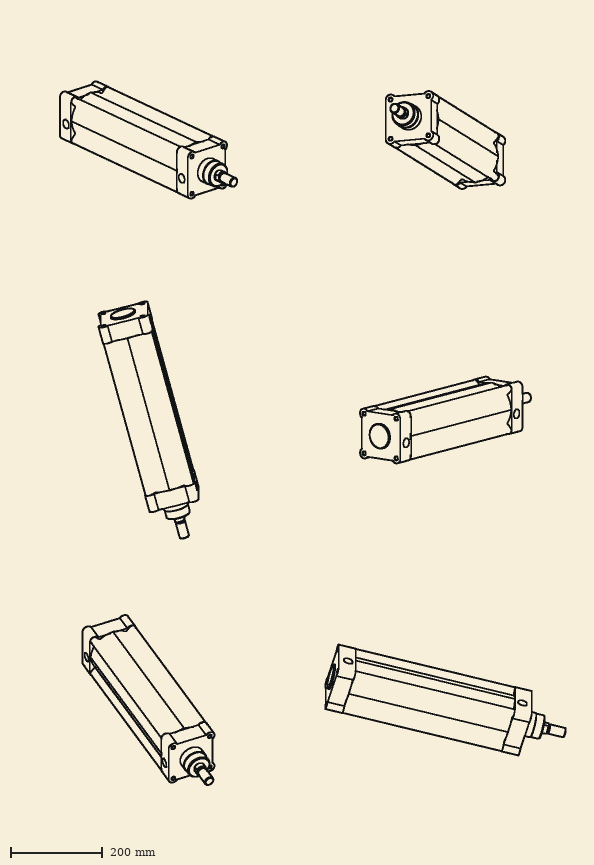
import cadquery as cq
import math


SPIGOT_LENGTH = 3.5
CAP_LENGTH = 38.5
TUBE_LENGTH = 361.5
NOSE_BASE_LENGTH = 19.0
NOSE_TIP_LENGTH = 19.0
ROD_COLLAR_LENGTH = 13.5
GROOVE_LENGTH = 1.5
OVERALL_LENGTH = 532.5
TUBE_START = SPIGOT_LENGTH + CAP_LENGTH
FRONT_CAP_START = TUBE_START + TUBE_LENGTH
NOSE_START = FRONT_CAP_START + CAP_LENGTH
NOSE_STEP = NOSE_START + NOSE_BASE_LENGTH
NOSE_END = NOSE_STEP + NOSE_TIP_LENGTH
COLLAR_END = NOSE_END + ROD_COLLAR_LENGTH
THREAD_START = COLLAR_END + GROOVE_LENGTH

CAP_WIDTH = 111.5
CAP_HALF_WIDTH = CAP_WIDTH / 2
CORNER_OFFSET = 44.0
CORNER_RADIUS = CAP_HALF_WIDTH - CORNER_OFFSET
CAP_RELIEF = 5.0
CAP_INNER_HALF = CAP_HALF_WIDTH - CAP_RELIEF
SCREW_RADIUS = 3.5
SCREW_CHAMFER = 1.0
PORT_RADIUS = 10.0
PORT_DEPTH = 21.5
PORT_DROP = 11.5
PORT_FROM_TUBE = 17.0

SPIGOT_RADIUS = 27.5
SPIGOT_CHAMFER = 1.5
NOSE_TIP_RADIUS = 26.5
NOSE_TIP_CHAMFER = 2.0

BARREL_RADIUS = 53.5
RIDGE_HALF_WIDTH = 9.0
LOBE_OFFSET = 46.5
LOBE_RADIUS = 8.0
LOBE_ROOT_FILLET = 1.5

ROD_RADIUS = 12.0
ROD_CHAMFER = 1.5
FLAT_HALF_WIDTH = 10.5
FLAT_SETBACK = 3.0
GROOVE_RADIUS = 9.0
THREAD_RADIUS = 10.5
THREAD_CHAMFER = 1.5


def section_at(x):
    """Sketch plane across the cylinder, with local x along Y and local y along Z."""
    return cq.Workplane("YZ", origin=(x, 0, 0))


def disc(x, length, radius):
    return section_at(x).circle(radius).extrude(length)


def four_corners(offset):
    return [(y, z) for y in (-offset, offset) for z in (-offset, offset)]


def cap_block(x):
    """Square block with round corners, relieved between the corners on all sides but -Y."""
    block = section_at(x).rect(2 * CAP_INNER_HALF, 2 * CAP_INNER_HALF).extrude(CAP_LENGTH)
    corners = section_at(x).pushPoints(four_corners(CORNER_OFFSET)).circle(CORNER_RADIUS).extrude(CAP_LENGTH)
    port_side = (
        section_at(x)
        .center(-(CORNER_OFFSET + CORNER_RADIUS / 2), 0)
        .rect(CORNER_RADIUS, 2 * CORNER_OFFSET)
        .extrude(CAP_LENGTH)
    )
    outer_square = (
        section_at(x)
        .rect(CAP_WIDTH, CAP_WIDTH)
        .extrude(CAP_LENGTH)
        .edges("|X")
        .fillet(CORNER_RADIUS)
    )
    return block.union(corners).union(port_side).intersect(outer_square)


def screw_holes(x, outer_x):
    """Four corner screw holes through a cap, countersunk at the outer face."""
    holes = section_at(x).pushPoints(four_corners(CORNER_OFFSET)).circle(SCREW_RADIUS).extrude(CAP_LENGTH)
    inward = 1 if outer_x == x else -1
    for y, z in four_corners(CORNER_OFFSET):
        countersink = cq.Solid.makeCone(
            SCREW_RADIUS + SCREW_CHAMFER,
            SCREW_RADIUS,
            SCREW_CHAMFER,
            pnt=cq.Vector(outer_x, y, z),
            dir=cq.Vector(inward, 0, 0),
        )
        holes = holes.union(cq.Workplane(countersink))
    return holes


def port(x):
    """Blind air port drilled into the -Y side."""
    hole = cq.Solid.makeCylinder(
        PORT_RADIUS,
        PORT_DEPTH,
        pnt=cq.Vector(x, -CAP_HALF_WIDTH, -PORT_DROP),
        dir=cq.Vector(0, 1, 0),
    )
    return cq.Workplane(hole)


def make_rear_cap():
    spigot = disc(0, SPIGOT_LENGTH, SPIGOT_RADIUS).faces("<X").chamfer(SPIGOT_CHAMFER)
    cap = cap_block(SPIGOT_LENGTH).union(spigot)
    cap = cap.cut(screw_holes(SPIGOT_LENGTH, SPIGOT_LENGTH))
    return cap.cut(port(TUBE_START - PORT_FROM_TUBE))


def make_front_cap():
    nose_base = disc(NOSE_START, NOSE_BASE_LENGTH, SPIGOT_RADIUS).faces(">X").chamfer(SPIGOT_CHAMFER)
    nose_tip = disc(NOSE_START, NOSE_END - NOSE_START, NOSE_TIP_RADIUS).faces(">X").chamfer(NOSE_TIP_CHAMFER)
    rod_bore = disc(FRONT_CAP_START, NOSE_END - FRONT_CAP_START, ROD_RADIUS)
    cap = cap_block(FRONT_CAP_START).union(nose_base).union(nose_tip)
    cap = cap.cut(screw_holes(FRONT_CAP_START, NOSE_START)).cut(rod_bore)
    return cap.cut(port(FRONT_CAP_START + PORT_FROM_TUBE))


def make_tube():
    """Round barrel with a shallow ridge on each side and a round-nosed lobe at each corner."""
    tube = disc(TUBE_START, TUBE_LENGTH, BARREL_RADIUS)

    tangent_height = math.sqrt(BARREL_RADIUS**2 - RIDGE_HALF_WIDTH**2)
    apex_height = BARREL_RADIUS**2 / tangent_height
    ridge = (
        section_at(TUBE_START)
        .lineTo(RIDGE_HALF_WIDTH, tangent_height)
        .lineTo(0, apex_height)
        .lineTo(-RIDGE_HALF_WIDTH, tangent_height)
        .close()
        .extrude(TUBE_LENGTH)
    )

    lobe_reach = LOBE_OFFSET * math.sqrt(2)
    lobe = (
        section_at(TUBE_START)
        .moveTo(0, -LOBE_RADIUS)
        .lineTo(lobe_reach, -LOBE_RADIUS)
        .threePointArc((lobe_reach + LOBE_RADIUS, 0), (lobe_reach, LOBE_RADIUS))
        .lineTo(0, LOBE_RADIUS)
        .close()
        .extrude(TUBE_LENGTH)
        .rotate((0, 0, 0), (1, 0, 0), 45)
    )
    for quarter in range(4):
        angle = 90 * quarter
        tube = tube.union(ridge.rotate((0, 0, 0), (1, 0, 0), angle))
        tube = tube.union(lobe.rotate((0, 0, 0), (1, 0, 0), angle))

    def is_lobe_root(edge):
        centre = edge.Center()
        on_barrel = math.isclose(math.hypot(centre.y, centre.z), BARREL_RADIUS, rel_tol=1e-4)
        return on_barrel and min(abs(centre.y), abs(centre.z)) > BARREL_RADIUS / 2

    return tube.edges("|X").filter(is_lobe_root).fillet(LOBE_ROOT_FILLET)


def make_rod():
    """Rod from the tube face through the nose, with two spanner flats and a threaded end."""
    rod = disc(FRONT_CAP_START, COLLAR_END - FRONT_CAP_START, ROD_RADIUS).faces(">X").chamfer(ROD_CHAMFER)
    flat_start = NOSE_END + FLAT_SETBACK
    for side in (-1, 1):
        flat_cut = cq.Workplane("XY").box(
            COLLAR_END - flat_start, ROD_RADIUS, 2 * ROD_RADIUS, centered=(False, True, True)
        )
        rod = rod.cut(flat_cut.translate((flat_start, side * (FLAT_HALF_WIDTH + ROD_RADIUS / 2), 0)))
    groove = disc(COLLAR_END, GROOVE_LENGTH, GROOVE_RADIUS)
    thread = disc(THREAD_START, OVERALL_LENGTH - THREAD_START, THREAD_RADIUS)
    thread = thread.faces("<X or >X").chamfer(THREAD_CHAMFER)
    return rod.union(groove).union(thread)


rear_cap = make_rear_cap()
tube = make_tube()
front_cap = make_front_cap()
rod = make_rod()

result = cq.Compound.makeCompound([rear_cap.val(), tube.val(), front_cap.val(), rod.val()])